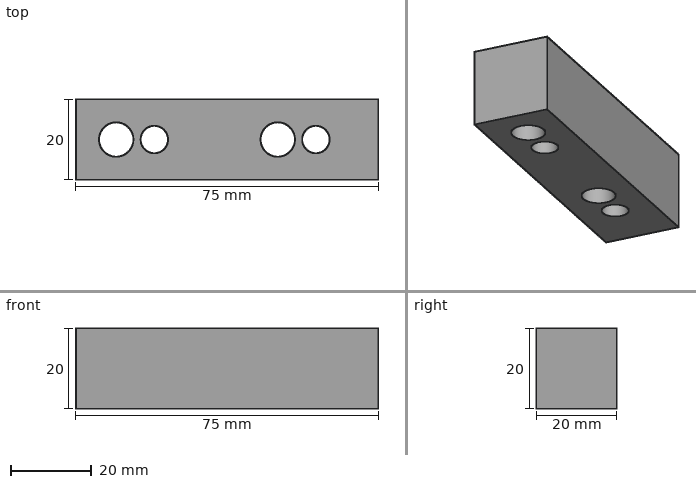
import cadquery as cq

length = 75.0
side = 20.0

large_diameter = 8.5
small_diameter = 6.75
first_pair_from_end = side / 2
pair_pitch = 2 * side
small_hole_offset = 9.45

large_hole_x = [-length / 2 + first_pair_from_end + i * pair_pitch for i in range(2)]
small_hole_x = [x + small_hole_offset for x in large_hole_x]


def drill_row(body, x_positions, diameter):
    """Drill vertical through holes at the given places on the centre line."""
    points = [(x, 0) for x in x_positions]
    return body.faces(">Z").workplane(origin=(0, 0, 0)).pushPoints(points).hole(diameter)


bar = cq.Workplane("XY").box(length, side, side)
bar = drill_row(bar, large_hole_x, large_diameter)
result = drill_row(bar, small_hole_x, small_diameter)